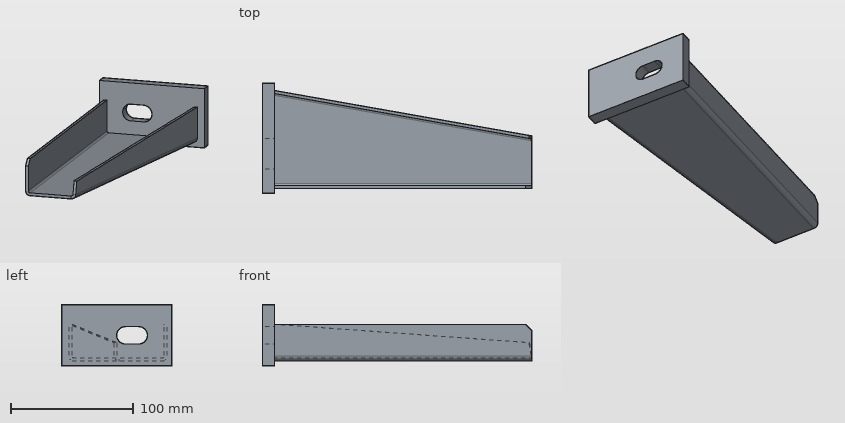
import cadquery as cq
import math

plate_thickness = 10.0
plate_width = 90.0
plate_height = 50.0
slot_length = 25.0
slot_height = 14.0
slot_offset = -12.5

arm_length = 210.0
sheet = 2.5
inner_radius = 1.5
outer_radius = inner_radius + sheet
neutral_fraction = 0.45
neutral_radius = inner_radius + neutral_fraction * sheet
arm_base = -21.0
wall_height = 30.0
corner_cut = 5.0
straight_side = -41.0
root_width = 80.1
taper_angle = 10.0
tip_wall_height = 15.0

taper_slope = math.tan(math.radians(taper_angle))
taper_cosine = math.cos(math.radians(taper_angle))
arm_end = plate_thickness + arm_length
arm_top = arm_base + wall_height
tapered_side = straight_side + root_width
clearance = 10.0
tip_bend_start = (
    arm_end,
    tapered_side - arm_length * taper_slope - outer_radius / taper_cosine,
    arm_base,
)


def make_plate():
    plate = cq.Workplane("XY").box(
        plate_thickness, plate_width, plate_height, centered=(False, True, True)
    )
    slot = (
        cq.Workplane("YZ")
        .center(slot_offset, 0)
        .slot2D(slot_length, slot_height)
        .extrude(plate_thickness)
    )
    return plate.cut(slot)


def tapered_trough(inset, radius):
    """Overlong solid with rounded lower sides, lying `inset` inside the channel's outer faces."""
    length = arm_length + clearance
    near = straight_side + inset
    far = tapered_side - inset / taper_cosine
    base = arm_base + inset
    outline = [
        (plate_thickness, near),
        (plate_thickness + length, near),
        (plate_thickness + length, far - length * taper_slope),
        (plate_thickness, far),
    ]
    return (
        cq.Workplane("XY", origin=(0, 0, base))
        .polyline(outline)
        .close()
        .extrude(arm_top + clearance - base)
        .faces("<Z")
        .edges("not |Y")
        .fillet(radius)
    )


def tapered_wall_plane():
    """Plane along the tapered wall: local x runs toward the tip, local y runs up."""
    return cq.Plane(
        origin=tip_bend_start,
        xDir=(1, -taper_slope, 0),
        normal=(-taper_slope, -1, 0),
    )


def straight_wall_cutter():
    """Trims the top, corner and square end of everything short of the tapered wall's bend."""
    beyond_top = arm_top + 2 * clearance
    beyond_end = arm_end + 2 * clearance
    profile = [
        (0, arm_top),
        (arm_end - corner_cut, arm_top),
        (arm_end, arm_top - corner_cut),
        (arm_end, arm_base),
        (beyond_end, arm_base),
        (beyond_end, beyond_top),
        (0, beyond_top),
    ]
    tapered_wall_zone = (
        cq.Workplane(tapered_wall_plane())
        .rect(4 * arm_length, 4 * arm_length)
        .extrude(-plate_width)
    )
    return (
        cq.Workplane("XZ", origin=(0, straight_side, 0))
        .polyline(profile)
        .close()
        .extrude(-plate_width)
        .cut(tapered_wall_zone)
    )


def tapered_wall_cutter():
    """Trims the tapered wall: falling top edge, leaning end and the end of its bend.

    The end is one straight cut across the flat sheet, so it leans back by the taper
    angle once the wall is folded up.
    """
    def setback(bend_angle):
        return -taper_slope * neutral_radius * bend_angle

    def bend_rise(bend_angle):
        return outer_radius * (1 - math.cos(bend_angle))

    full_bend = math.pi / 2
    half_bend = full_bend / 2
    tip_x = setback(full_bend) - taper_slope * (tip_wall_height - outer_radius)
    root_x = -arm_length / taper_cosine
    top_slope = (wall_height - tip_wall_height) / (tip_x - root_x)
    beyond_root = root_x - clearance
    beyond_tip = 2 * clearance
    beyond_top = wall_height + 2 * clearance
    return (
        cq.Workplane(tapered_wall_plane())
        .moveTo(0, 0)
        .threePointArc(
            (setback(half_bend), bend_rise(half_bend)),
            (setback(full_bend), bend_rise(full_bend)),
        )
        .lineTo(tip_x, tip_wall_height)
        .lineTo(beyond_root, wall_height + top_slope * clearance)
        .lineTo(beyond_root, beyond_top)
        .lineTo(beyond_tip, beyond_top)
        .lineTo(beyond_tip, 0)
        .close()
        .extrude(-2 * outer_radius)
    )


def make_arm():
    channel = tapered_trough(0, outer_radius).cut(tapered_trough(sheet, inner_radius))
    return channel.cut(straight_wall_cutter()).cut(tapered_wall_cutter())


plate = make_plate()
arm = make_arm()
result = cq.Compound.makeCompound([plate.val(), arm.val()])